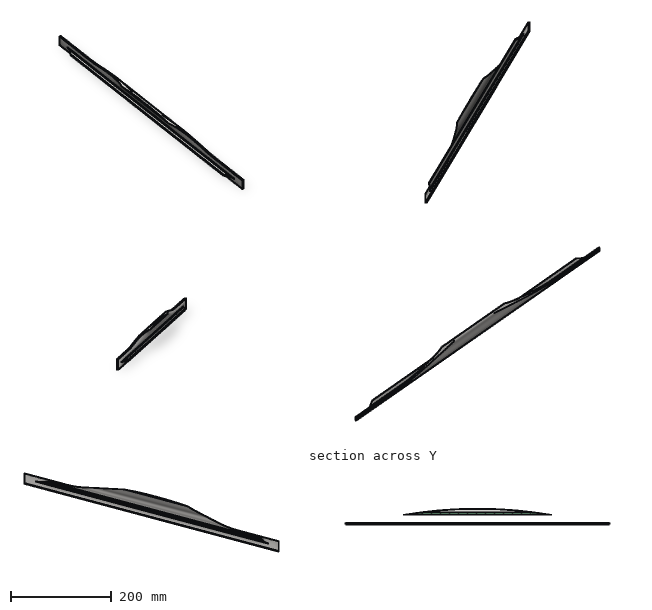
import cadquery as cq
import math

length = 595.0
thickness = 3.3
flat_height = 21.5
overall_height = 40.0
overall_depth = 17.0
curl_radius = 19.5

crown_radius = 863.0
crest_half_length = 199.5
crown_rise = 0.25
crown_top = overall_height + crown_rise

rib_height = 10.0
bar_thickness = 3.3
bar_back = 5.5
bar_front = 13.0
bar_half_length = 260.5
bar_ramp_length = 12.0
web_thickness = 0.9
web_half_length = 272.0


def curled_plate():
    """Constant section: flat wall with a near-quarter-circle curl at the top."""
    inner_radius = curl_radius - thickness
    end_angle = math.acos((curl_radius - overall_depth) / inner_radius)
    middle_angle = end_angle / 2
    curl_start = overall_height - curl_radius * math.sin(end_angle)

    def on_curl(radius, angle):
        return (-curl_radius + radius * math.cos(angle), curl_start + radius * math.sin(angle))

    return (
        cq.Workplane("YZ", origin=(-length / 2, 0, 0))
        .lineTo(0, curl_start)
        .threePointArc(on_curl(curl_radius, middle_angle), on_curl(curl_radius, end_angle))
        .lineTo(*on_curl(inner_radius, end_angle))
        .threePointArc(on_curl(inner_radius, middle_angle), (-thickness, curl_start))
        .lineTo(-thickness, 0)
        .close()
        .extrude(length)
    )


def crest_outline():
    """Front silhouette that trims the curled plate."""
    crown_center = crown_top - crown_radius
    drop = flat_height - crown_center
    blend_radius = (crest_half_length**2 + drop**2 - crown_radius**2) / (2 * (crown_radius - drop))
    blend_center = flat_height + blend_radius
    joint_angle = math.atan2(crest_half_length, blend_center - crown_center)
    joint_x = crown_radius * math.sin(joint_angle)
    joint_z = crown_center + crown_radius * math.cos(joint_angle)
    blend_mid_x = crest_half_length - blend_radius * math.sin(joint_angle / 2)
    blend_mid_z = blend_center - blend_radius * math.cos(joint_angle / 2)
    return (
        cq.Workplane("XZ")
        .moveTo(-length / 2, 0)
        .lineTo(-length / 2, flat_height)
        .lineTo(-crest_half_length, flat_height)
        .threePointArc((-blend_mid_x, blend_mid_z), (-joint_x, joint_z))
        .threePointArc((0, crown_top), (joint_x, joint_z))
        .threePointArc((blend_mid_x, blend_mid_z), (crest_half_length, flat_height))
        .lineTo(length / 2, flat_height)
        .lineTo(length / 2, 0)
        .close()
        .extrude(overall_depth)
    )


def tapered_rail(back, front, back_half_length, front_half_length, height):
    """Horizontal rail with sloping ends, centred on the rib height."""
    return (
        cq.Workplane("XY", origin=(0, 0, rib_height - height / 2))
        .polyline([
            (-back_half_length, -back),
            (back_half_length, -back),
            (front_half_length, -front),
            (-front_half_length, -front),
        ])
        .close()
        .extrude(height)
    )


web = tapered_rail(thickness, bar_back, web_half_length, bar_half_length, web_thickness)
bar = tapered_rail(
    bar_back, bar_front, bar_half_length, bar_half_length - bar_ramp_length, bar_thickness
)

result = curled_plate().intersect(crest_outline()).union(web).union(bar)